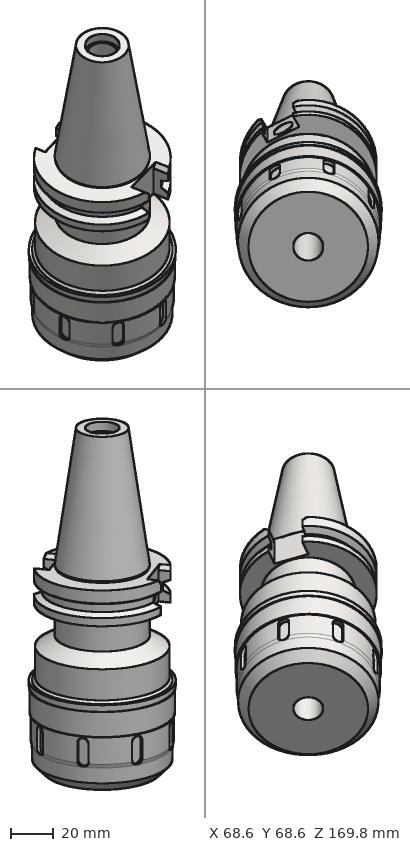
import cadquery as cq

total_height = 169.8

nose_face_radius = 27.9
nose_radius = 32.8
nose_top_radius = 33.0
nose_chamfer_top = 5.1
nose_top = 12.7
grip_radius = 33.5
grip_bottom = 14.8
grip_top = 28.4
sleeve_radius = 34.0
sleeve_top = 41.1
rim_radius = 34.3
rim_top = 44.5

slot_count = 8
slot_width = 5.5
slot_bottom = 13.0
slot_top = 27.3
slot_floor_radius = 31.6

body_radius = 31.5
body_chamfer = 1.4
body_top = 61.3
neck_radius = 22.3
neck_bottom = 66.8

flange_radius = 32.0
flange_bottom = 82.9
flange_top = 100.7
groove_floor_radius = 28.4
groove_flank_height = 1.7
groove_bottom = 87.0
groove_top = 94.3

gauge_plane = 101.7
taper_per_length = 7 / 24
relief_radius = 21.7
taper_top_radius = neck_radius - (total_height - gauge_plane) * taper_per_length / 2

keyway_width = 16.8
keyway_chamfer = 2.2
left_keyway_floor = 24.8
right_keyway_floor = 22.8

recess_radius = 5.0
recess_depth = 0.2
recess_height = 90.5

bore_radius = 7.0
counterbore_radius = 8.0
counterbore_depth = 4.6


def turned_body():
    """Solid of revolution about Z, from the nut face up to the taper end."""
    profile = [
        (0, 0),
        (nose_face_radius, 0),
        (nose_radius, nose_chamfer_top),
        (nose_top_radius, nose_top),
        (grip_radius, grip_bottom),
        (grip_radius, grip_top),
        (sleeve_radius, grip_top),
        (sleeve_radius, sleeve_top),
        (rim_radius, sleeve_top),
        (rim_radius, rim_top),
        (body_radius + body_chamfer, rim_top),
        (body_radius, rim_top + body_chamfer),
        (body_radius, body_top),
        (neck_radius, neck_bottom),
        (neck_radius, flange_bottom),
        (flange_radius, flange_bottom),
        (flange_radius, groove_bottom),
        (groove_floor_radius, groove_bottom + groove_flank_height),
        (groove_floor_radius, groove_top - groove_flank_height),
        (flange_radius, groove_top),
        (flange_radius, flange_top),
        (relief_radius, flange_top),
        (neck_radius, gauge_plane),
        (taper_top_radius, total_height),
        (0, total_height),
    ]
    return cq.Workplane("XZ").polyline(profile).close().revolve(360, (0, 0, 0), (0, 1, 0))


def grip_slot(angle):
    """Round-ended vertical slot cutter, reaching in to the slot floor at the given angle."""
    middle_height = (slot_bottom + slot_top) / 2
    cutter = (
        cq.Workplane("YZ", origin=(slot_floor_radius, 0, middle_height))
        .slot2D(slot_top - slot_bottom, slot_width, 90)
        .extrude(rim_radius - slot_floor_radius)
    )
    return cutter.rotate((0, 0, 0), (0, 0, 1), angle)


def keyway(floor_distance, side):
    """Keyway cutter on the +X (side=1) or -X (side=-1) face, flared at the flange top."""
    half_width = keyway_width / 2
    flare_half_width = half_width + keyway_chamfer
    flare_bottom = flange_top - keyway_chamfer
    outline = [
        (-half_width, flange_bottom),
        (half_width, flange_bottom),
        (half_width, flare_bottom),
        (flare_half_width, flange_top),
        (-flare_half_width, flange_top),
        (-half_width, flare_bottom),
    ]
    return (
        cq.Workplane("YZ", origin=(side * floor_distance, 0, 0))
        .polyline(outline)
        .close()
        .extrude(side * (rim_radius - floor_distance))
    )


def keyway_recess():
    """Round cutter sunk into the -X keyway floor."""
    return (
        cq.Workplane("YZ", origin=(-left_keyway_floor, 0, recess_height))
        .circle(recess_radius)
        .extrude(recess_depth)
    )


def stepped_bore():
    """Through bore with a wider counterbore at the taper end."""
    bore = cq.Workplane("XY").circle(bore_radius).extrude(total_height)
    counterbore = (
        cq.Workplane("XY", origin=(0, 0, total_height - counterbore_depth))
        .circle(counterbore_radius)
        .extrude(counterbore_depth)
    )
    return bore.union(counterbore)


holder = turned_body()
for index in range(slot_count):
    holder = holder.cut(grip_slot(index * 360 / slot_count))
holder = holder.cut(keyway(left_keyway_floor, -1))
holder = holder.cut(keyway(right_keyway_floor, 1))
holder = holder.cut(keyway_recess())
result = holder.cut(stepped_bore())